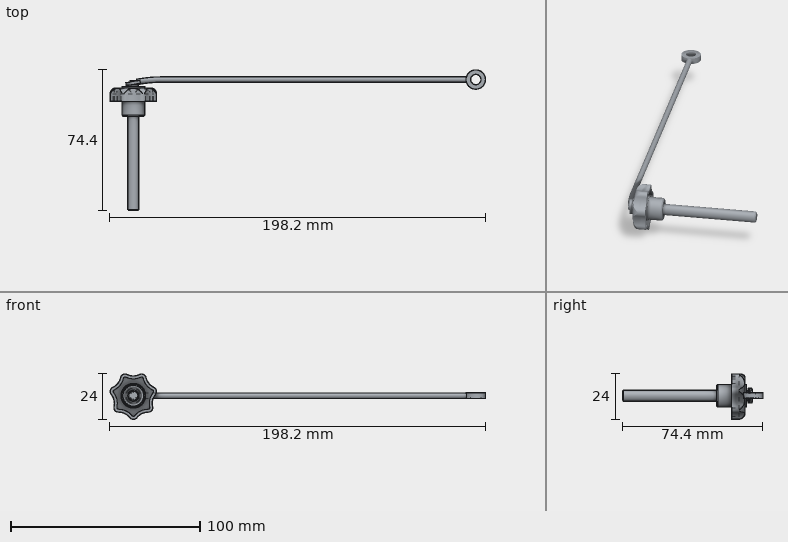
import cadquery as cq
import math


LOBE_COUNT = 7
LOBE_CENTER_RADIUS = 10.01
LOBE_RADIUS = 2.48
VALLEY_DEPTH_RADIUS = 10.5
KNOB_RADIUS = LOBE_CENTER_RADIUS + LOBE_RADIUS
KNOB_THICKNESS = 8.0
KNOB_EDGE_ROUND = 3.5
KNOB_BOSS_DIAMETER = 12.0
KNOB_BOSS_HEIGHT = 0.8
WALL = 1.5
POCKET_DEPTH = 4.0

HUB_DIAMETER = 12.0
HUB_LENGTH = 8.0
HUB_COLLAR_DIAMETER = 13.0
SHAFT_DIAMETER = 6.0
SHAFT_END_Y = -57.7
EDGE_CHAMFER = 0.5

ROD_DIAMETER = 3.0
EYE_DIAMETER = 10.3
EYE_HOLE_DIAMETER = 5.4
ROD_OVERLAP = 1.5
EYE_THICKNESS = 3.2
OVERALL_LENGTH = 198.2
KNOB_LEFT_REACH = LOBE_CENTER_RADIUS * math.cos(math.pi / 2 / LOBE_COUNT) + LOBE_RADIUS
EYE_X = OVERALL_LENGTH - KNOB_LEFT_REACH - EYE_DIAMETER / 2
ROD_Y = 11.5
BEND_START_X = 14.7
BEND_END_X = 5.0
BEND_RADIUS = 61.5
BEND_ANGLE = math.asin((BEND_START_X - BEND_END_X) / BEND_RADIUS)

PIVOT_RING_DIAMETER = 8.0
PIVOT_RING_THICKNESS = 1.5
PIVOT_RING_Y = 9.7
PIVOT_NECK_DIAMETER = 5.4
PIVOT_NECK_END_Y = 9.0
PIVOT_PIN_DIAMETER = 3.5
PIVOT_PIN_END_Y = 11.0


def polar(radius, angle):
    return (radius * math.cos(angle), radius * math.sin(angle))


def cylinder_y(diameter, start_y, end_y):
    solid = cq.Workplane("XZ", origin=(0, end_y, 0)).circle(diameter / 2)
    return solid.extrude(end_y - start_y)


def lobed_prism(inset, length):
    """Prism from Y = 0 towards +Y with tangent lobe and valley arcs."""
    half_pitch = math.pi / LOBE_COUNT
    lobe_radius = LOBE_RADIUS - inset
    valley_bottom = VALLEY_DEPTH_RADIUS - inset
    along, across = polar(LOBE_CENTER_RADIUS, half_pitch)
    gap = valley_bottom - along
    valley_radius = (gap**2 + across**2 - lobe_radius**2) / (2 * (lobe_radius - gap))
    valley_center = valley_bottom + valley_radius
    touch_share = lobe_radius / (lobe_radius + valley_radius)
    touch_along = along + (valley_center - along) * touch_share
    touch_across = across * (1 - touch_share)
    touch_radius = math.hypot(touch_along, touch_across)
    touch_angle = half_pitch - math.atan2(touch_across, touch_along)

    lobe_angle = -math.pi / 2
    outline = cq.Workplane("XZ").moveTo(*polar(touch_radius, lobe_angle - touch_angle))
    for _ in range(LOBE_COUNT):
        outline = outline.threePointArc(
            polar(LOBE_CENTER_RADIUS + lobe_radius, lobe_angle),
            polar(touch_radius, lobe_angle + touch_angle),
        )
        next_lobe_angle = lobe_angle + 2 * half_pitch
        outline = outline.threePointArc(
            polar(valley_bottom, lobe_angle + half_pitch),
            polar(touch_radius, next_lobe_angle - touch_angle),
        )
        lobe_angle = next_lobe_angle
    return outline.close().extrude(-length)


def make_knob():
    rim_thickness = KNOB_THICKNESS - KNOB_BOSS_HEIGHT
    envelope = cylinder_y(2 * KNOB_RADIUS, 0, rim_thickness).faces(">Y").edges().fillet(KNOB_EDGE_ROUND)
    knob = lobed_prism(0, KNOB_THICKNESS).intersect(envelope)
    knob = knob.union(cylinder_y(KNOB_BOSS_DIAMETER, POCKET_DEPTH, KNOB_THICKNESS))
    return knob.cut(lobed_prism(WALL, POCKET_DEPTH))


def make_hub_and_shaft():
    hub = cylinder_y(HUB_DIAMETER, -HUB_LENGTH, POCKET_DEPTH).faces("<Y").chamfer(EDGE_CHAMFER)
    collar = cylinder_y(HUB_COLLAR_DIAMETER, 0, POCKET_DEPTH)
    shaft = cylinder_y(SHAFT_DIAMETER, SHAFT_END_Y, POCKET_DEPTH).faces("<Y").chamfer(EDGE_CHAMFER)
    return hub.union(collar).union(shaft)


def make_arm():
    bend_drop = BEND_RADIUS * (1 - math.cos(BEND_ANGLE))
    middle_drop = BEND_RADIUS * (1 - math.cos(BEND_ANGLE / 2))
    bend_middle = (BEND_START_X - BEND_RADIUS * math.sin(BEND_ANGLE / 2), ROD_Y - middle_drop)
    bend_end = (BEND_END_X, ROD_Y - bend_drop)
    inner_x = PIVOT_RING_DIAMETER / 4
    inner_end = (inner_x, bend_end[1] - (BEND_END_X - inner_x) * math.tan(BEND_ANGLE))
    rod_end_x = EYE_X - EYE_DIAMETER / 2 + ROD_OVERLAP
    path = (
        cq.Workplane("XY")
        .moveTo(rod_end_x, ROD_Y)
        .lineTo(BEND_START_X, ROD_Y)
        .threePointArc(bend_middle, bend_end)
        .lineTo(*inner_end)
    )
    start = cq.Workplane("YZ", origin=(rod_end_x, ROD_Y, 0))
    rod = start.circle(ROD_DIAMETER / 2).sweep(path)
    eye = (
        cq.Workplane("XY", origin=(EYE_X, ROD_Y, -EYE_THICKNESS / 2))
        .circle(EYE_DIAMETER / 2)
        .circle(EYE_HOLE_DIAMETER / 2)
        .extrude(EYE_THICKNESS)
    )
    return rod.union(eye)


def make_pivot():
    half_thickness = PIVOT_RING_THICKNESS / 2
    ring = cylinder_y(PIVOT_RING_DIAMETER, -half_thickness, half_thickness)
    ring = ring.rotate((0, 0, 0), (0, 0, 1), math.degrees(BEND_ANGLE))
    ring = ring.translate((0, PIVOT_RING_Y, 0))
    neck = cylinder_y(PIVOT_NECK_DIAMETER, POCKET_DEPTH, PIVOT_NECK_END_Y)
    pin = cylinder_y(PIVOT_PIN_DIAMETER, POCKET_DEPTH, PIVOT_PIN_END_Y)
    return ring.union(neck).union(pin)


result = make_knob().union(make_hub_and_shaft()).union(make_pivot()).union(make_arm())